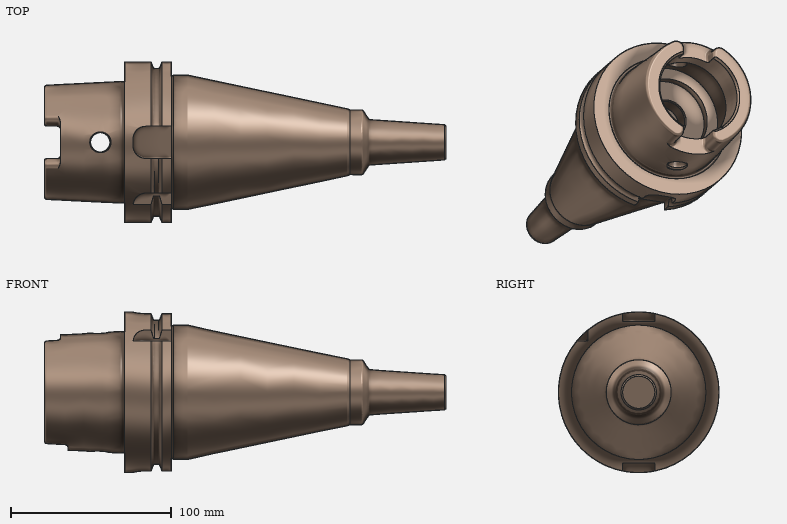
import cadquery as cq
import math


shank_length = 50.0
shank_slope = 0.05
shank_base_radius = 38.0
shank_end_round = 1.8
shank_start_x = -shank_length
shank_stop_x = -2.4
undercut_depth = 0.15
undercut_flank = 0.8
face_relief_radius = 39.7
face_relief_depth = 1.0
face_relief_round = 0.9

flange_radius = 50.0
flange_width = 29.0
groove_center_x = 19.8
groove_mouth_width = 6.8
groove_floor_width = 3.6
groove_floor_radius = 46.0
groove_floor_round = 0.8

neck_radius = 41.0
body_start_x = 30.3
body_radius = 41.8
body_cone_start_x = 39.3
body_cone_end_x = 138.4
body_cone_end_radius = 20.9
collar_start_x = 140.0
collar_radius = 20.2
collar_end_x = 148.0
collar_round = 1.4
nose_start_x = 152.0
nose_start_radius = 14.2
nose_foot_round = 1.0
nose_end_x = 200.0
nose_end_radius = 11.0
nose_chamfer = 1.0

bore_radius = 26.1
mouth_chamfer = 1.3
clamp_groove_start_x = -31.0
clamp_groove_end_x = -5.0
clamp_groove_radius = 31.5
pilot_radius = 24.5
pilot_depth = 5.0
coolant_hole_radius = 11.7
coolant_hole_depth = 10.0
coolant_hole_chamfer = 0.7
core_radius = 22.0

drive_slot_width = 20.0
upper_drive_slot_depth = 10.0
lower_drive_slot_depth = 14.6
drive_slot_rim_radius = 4.5
drive_slot_floor_round = 1.8

cross_hole_radius = 6.0
cross_hole_sink = 0.7
cross_hole_x = -15.2

key_slot_width = 20.0
key_slot_start_x = 5.2
key_slot_corner_radius = 8.0
key_slot_floor_round = 0.6
key_slot_floor_z = 44.0
notch_wall_y = -31.6
notch_floor_z = 31.8


def shank_radius_at(x):
    return shank_base_radius + shank_slope * x


def revolve_profile(points):
    """Revolve a closed (x, radius) outline about the X axis."""
    return cq.Workplane("XY").polyline(points).close().revolve(360, (0, 0, 0), (1, 0, 0))


def circle_at(x, radius):
    """Selector for the circular edge of the given radius about the X axis at position x."""
    reach = 0.05
    return cq.selectors.BoxSelector(
        (x - reach, -radius - reach, -radius - reach),
        (x + reach, radius + reach, radius + reach),
        boundingbox=True,
    )


def make_outside():
    """Outer shape of the whole holder as one solid of revolution."""
    groove_left = groove_center_x - groove_mouth_width / 2
    groove_right = groove_center_x + groove_mouth_width / 2
    floor_left = groove_center_x - groove_floor_width / 2
    floor_right = groove_center_x + groove_floor_width / 2
    shank_stop_radius = shank_radius_at(shank_stop_x)
    undercut_radius = shank_stop_radius - undercut_depth
    body = revolve_profile([
        (shank_start_x, 0),
        (shank_start_x, shank_radius_at(shank_start_x)),
        (shank_stop_x, shank_stop_radius),
        (shank_stop_x + undercut_flank, undercut_radius),
        (-undercut_flank, undercut_radius),
        (0, shank_stop_radius),
        (face_relief_depth, shank_stop_radius),
        (face_relief_depth, face_relief_radius),
        (0, face_relief_radius),
        (0, flange_radius),
        (groove_left, flange_radius),
        (floor_left, groove_floor_radius),
        (floor_right, groove_floor_radius),
        (groove_right, flange_radius),
        (flange_width, flange_radius),
        (flange_width, neck_radius),
        (body_start_x, body_radius),
        (body_cone_start_x, body_radius),
        (body_cone_end_x, body_cone_end_radius),
        (collar_start_x, collar_radius),
        (collar_end_x, collar_radius),
        (nose_start_x, nose_start_radius),
        (nose_end_x - nose_chamfer, nose_end_radius),
        (nose_end_x, nose_end_radius - nose_chamfer),
        (nose_end_x, 0),
    ])
    rounds = [
        (face_relief_depth, face_relief_radius, face_relief_round),
        (floor_left, groove_floor_radius, groove_floor_round),
        (floor_right, groove_floor_radius, groove_floor_round),
        (collar_end_x, collar_radius, collar_round),
        (nose_start_x, nose_start_radius, nose_foot_round),
    ]
    for x, radius, round_radius in rounds:
        body = body.edges(circle_at(x, radius)).fillet(round_radius)
    return body


def make_core():
    """Plain hole inside the bore that separates the two drive slots before they are rounded."""
    length = clamp_groove_end_x - shank_start_x
    return cq.Workplane("YZ", origin=(shank_start_x, 0, 0)).circle(core_radius).extrude(length)


def make_bore():
    """Shank bore with its clamping groove, pilot and blind coolant hole."""
    pilot_end_x = clamp_groove_end_x + pilot_depth
    hole_end_x = pilot_end_x + coolant_hole_depth
    return revolve_profile([
        (shank_start_x, 0),
        (shank_start_x, bore_radius + mouth_chamfer),
        (shank_start_x + mouth_chamfer, bore_radius),
        (clamp_groove_start_x, bore_radius),
        (clamp_groove_start_x, clamp_groove_radius),
        (clamp_groove_end_x, clamp_groove_radius),
        (clamp_groove_end_x, pilot_radius),
        (pilot_end_x, pilot_radius),
        (pilot_end_x, coolant_hole_radius + coolant_hole_chamfer),
        (pilot_end_x + coolant_hole_chamfer, coolant_hole_radius),
        (hole_end_x, coolant_hole_radius),
        (hole_end_x, 0),
    ])


def cut_drive_slot(body, depth, side):
    """Cut a slot across the shank end on the +Z (side = 1) or -Z (side = -1) half."""
    wall_y = drive_slot_width / 2
    floor_x = shank_start_x + depth
    middle_x = shank_start_x + depth / 2
    slot = (
        cq.Workplane("XY")
        .box(depth, drive_slot_width, flange_radius, centered=(False, True, False))
        .translate((shank_start_x, 0, 0))
    )
    if side < 0:
        slot = slot.mirror("XY")
    body = body.cut(slot)

    rim_z = side * math.sqrt(shank_radius_at(middle_x) ** 2 - wall_y ** 2)
    for rim_y in (-wall_y, wall_y):
        rim = cq.selectors.NearestToPointSelector((middle_x, rim_y, rim_z))
        body = body.edges(rim).fillet(drive_slot_rim_radius)

    wall_z = (side * core_radius + rim_z) / 2
    for corner_y in (-wall_y, wall_y):
        corner = cq.selectors.NearestToPointSelector((floor_x, corner_y, wall_z))
        body = body.edges(corner).fillet(drive_slot_floor_round)
    return body


def round_shank_end(body):
    """Round every edge of the end face except the rim of the core hole."""
    def is_outer(edge):
        return edge.geomType() != "CIRCLE" or edge.radius() > bore_radius

    return body.faces("<X").edges().filter(is_outer).fillet(shank_end_round)


def make_cross_hole():
    """Hole along Z through both shank walls, with a small countersink at each mouth."""
    surface_z = shank_radius_at(cross_hole_x)
    sink_height = 2 * cross_hole_sink
    hole = cq.Workplane("XY").circle(cross_hole_radius).extrude(flange_radius, both=True)
    sink = (
        cq.Workplane("XY", origin=(0, 0, surface_z - sink_height))
        .circle(cross_hole_radius)
        .workplane(offset=sink_height)
        .circle(cross_hole_radius + cross_hole_sink)
        .loft()
    )
    return hole.union(sink).union(sink.mirror("XY")).translate((cross_hole_x, 0, 0))


def make_key_slot(center_y, floor_z):
    """Slot open toward +Z and through the +X flange face, with rounded corners at its closed end."""
    length = flange_width - key_slot_start_x
    return (
        cq.Workplane("XY")
        .box(length, key_slot_width, flange_radius, centered=(False, True, False))
        .edges("|Z and <X")
        .fillet(key_slot_corner_radius)
        .faces("<Z")
        .edges("not >X")
        .fillet(key_slot_floor_round)
        .translate((key_slot_start_x, center_y, floor_z))
    )


result = make_outside().cut(make_core())
result = cut_drive_slot(result, upper_drive_slot_depth, 1)
result = cut_drive_slot(result, lower_drive_slot_depth, -1)
result = round_shank_end(result)
result = result.cut(make_bore())
result = result.cut(make_cross_hole())
key_slot = make_key_slot(0, key_slot_floor_z)
result = result.cut(key_slot)
result = result.cut(key_slot.mirror("XY"))
result = result.cut(make_key_slot(notch_wall_y - key_slot_width / 2, notch_floor_z))